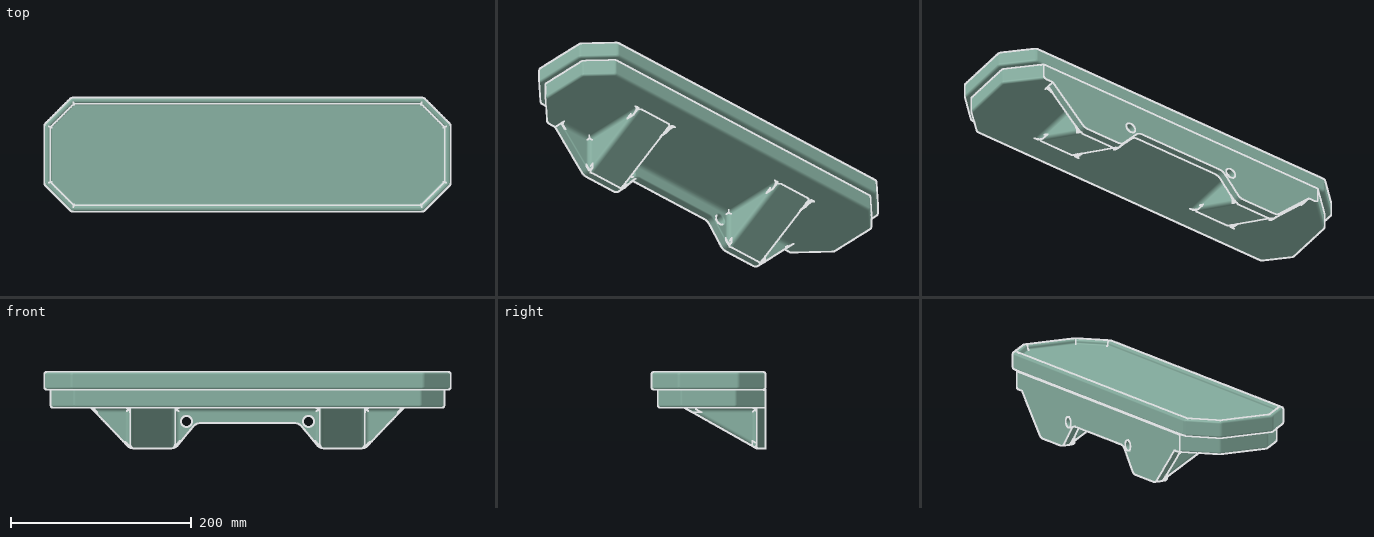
import cadquery as cq
import math


length = 450.0
depth = 126.49
tray_height = 20.0
corner_cut = 30.0
tray_corner_radius = 5.0
tray_edge_radius = 3.0

rim_width = 7.0
recess_depth = 6.0
recess_floor_radius = 2.0

slab_inset = 7.0
slab_height = 20.0
slab_corner_radius = 4.0
slab_edge_radius = 3.0

total_height = 85.0
plate_thickness = 10.0
plate_waist_drop = 17.0
leg_outer_run = 43.0
leg_inner_run = 23.0
plate_corner_radius = 10.0
plate_edge_radius = 1.5

rib_center = 105.0
rib_width = 50.0
rib_reach = 90.0
rib_edge_radius = 5.0
root_radius = 5.0

hole_diameter = 12.0
hole_spacing = 135.0
hole_drop = 15.0

tray_bottom = -tray_height
slab_bottom = tray_bottom - slab_height
bracket_bottom = -total_height
bracket_height = slab_bottom - bracket_bottom
rib_inner = rib_center - rib_width / 2
rib_outer = rib_center + rib_width / 2
bracket_half_width = rib_outer + leg_outer_run


def octagon(inset):
    """Tray outline moved inwards by the inset, from the back right corner clockwise."""
    side = length / 2 - inset
    back = -inset
    front = -depth + inset
    cut = corner_cut - inset * (2 - math.sqrt(2))
    return [
        (side - cut, back),
        (side, back - cut),
        (side, front + cut),
        (side - cut, front),
        (-side + cut, front),
        (-side, front + cut),
        (-side, back - cut),
        (-side + cut, back),
    ]


def make_tray():
    tray = cq.Workplane("XY").workplane(offset=tray_bottom).polyline(octagon(0)).close().extrude(tray_height)
    tray = tray.edges("|Z").fillet(tray_corner_radius)
    tray = tray.faces("<Z").edges("not(>Y)").fillet(tray_edge_radius)
    recess = cq.Workplane("XY").polyline(octagon(rim_width)).close().extrude(-recess_depth)
    recess = recess.faces("<Z").edges().fillet(recess_floor_radius)
    return tray.cut(recess).faces(">Z").edges().fillet(tray_edge_radius)


def make_slab():
    outline = octagon(slab_inset)
    back_corner = outline[0][0] - slab_inset
    outline[0] = (back_corner, 0)
    outline[-1] = (-back_corner, 0)
    slab = cq.Workplane("XY").workplane(offset=slab_bottom).polyline(outline).close().extrude(slab_height)
    slab = slab.edges("|Z and (not >Y)").fillet(slab_corner_radius)
    return slab.faces("<Z").edges("not(>Y)").fillet(slab_edge_radius)


def make_plate_prism(thickness):
    """Plate outline with its two legs, extruded from the wall plane."""
    waist_bottom = slab_bottom - plate_waist_drop
    right_half = [
        (rib_inner - leg_inner_run, waist_bottom),
        (rib_inner, bracket_bottom),
        (rib_outer, bracket_bottom),
        (bracket_half_width, slab_bottom),
    ]
    left_half = [(-x, z) for x, z in reversed(right_half)]
    prism = cq.Workplane("XZ").polyline(right_half + left_half).close().extrude(thickness)
    return prism.edges("|Y").edges("not(>Z)").fillet(plate_corner_radius)


def make_screw_holes():
    return (
        cq.Workplane("XZ")
        .pushPoints([(side * hole_spacing / 2, slab_bottom - hole_drop) for side in (-1, 1)])
        .circle(hole_diameter / 2)
        .extrude(plate_thickness)
    )


def make_plate():
    plate = make_plate_prism(plate_thickness).cut(make_screw_holes())
    return plate.faces("<Y").edges("not(>Z)").fillet(plate_edge_radius)


def make_wedge(x_start, width):
    """Triangular side shape of a rib, extruded along X."""
    profile = [
        (0, slab_bottom),
        (-rib_reach, slab_bottom),
        (-plate_thickness, bracket_bottom),
        (0, bracket_bottom),
    ]
    return cq.Workplane("YZ").workplane(offset=x_start).polyline(profile).close().extrude(width)


def make_rib():
    rib = make_wedge(rib_inner, rib_width)
    return rib.edges("not(|X or |Y or |Z)").fillet(rib_edge_radius)


def cove(plane, corner, u_sign, v_sign, start, distance):
    """Concave fillet strip filling the corner of two walls facing u_sign and v_sign."""
    u, v = corner
    u_end = u + u_sign * root_radius
    v_end = v + v_sign * root_radius
    bulge = root_radius * (1 - math.sqrt(0.5))
    return (
        cq.Workplane(plane)
        .workplane(offset=start)
        .moveTo(u, v)
        .lineTo(u_end, v)
        .threePointArc((u + u_sign * bulge, v + v_sign * bulge), (u, v_end))
        .close()
        .extrude(distance)
    )


def make_coves():
    plate_width = 2 * bracket_half_width
    coves = cove("YZ", (-plate_thickness, slab_bottom), -1, -1, -bracket_half_width, plate_width)
    for x, outward in ((rib_inner, -1), (rib_outer, 1)):
        upright = cove("XY", (x, -plate_thickness), outward, -1, bracket_bottom, bracket_height)
        under_slab = cove("XZ", (x, slab_bottom), outward, -1, 0, rib_reach)
        pair = upright.union(under_slab)
        coves = coves.union(pair).union(pair.mirror("YZ"))
    return coves.intersect(make_wedge(-bracket_half_width, plate_width))


def make_bracket():
    rib = make_rib()
    added = make_coves().union(rib).union(rib.mirror("YZ"))
    return make_plate().union(added.intersect(make_plate_prism(depth)))


shelf = make_tray().union(make_slab())
result = shelf.union(make_bracket())